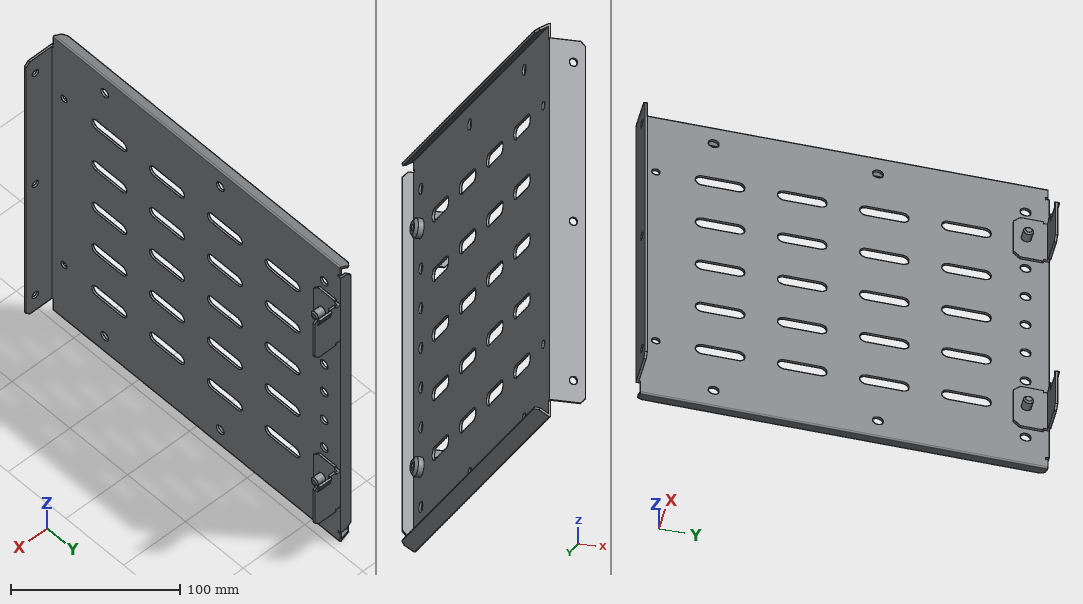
import cadquery as cq
import math

width_x = 30.6
length_y = 253.2
height_z = 247.5
sheet = 1.5

near_flange_end = width_x / 2
near_flange_length = 22.5
panel_front = near_flange_end - near_flange_length
panel_back = panel_front + sheet
near_y = -length_y / 2
far_y = 124.9
lip_half_length = 124.0
lip_angle = 120.0
lip_bend_radius = 0.8
lip_corner = 2.8

near_flange_half_height = 113.7
near_flange_corner = 3.0
far_flange_half_height = 114.7
far_flange_end = -14.2
far_flange_corner = 3.5
relief_depth = 1.5
relief_height = 1.5

fixing_pitch = 100.0
hole_pitch = fixing_pitch / 4
screw_z = 3 * hole_pitch
column_y = 110.5
column_hole_diameter = 6.5
column_hole_count = 9
screw_places = (1, 7)

slot_length = 30.1
slot_width = 8.0
slot_pitch_y = 2 * hole_pitch
slot_pitch_z = 1.5 * hole_pitch
slot_first_y = 74.5
slot_columns = 4
slot_rows = 5

edge_hole_z = 109.7
edge_hole_first_y = 20.5
edge_hole_diameter = 6.5
small_hole_y = -114.7
small_hole_diameter = 5.0
flange_hole_x = near_flange_end - 7.5
flange_hole_diameter = 5.0
flange_hole_count = 3

bracket_half_height = 17.5
bracket_leg_length = 22.0
bracket_leg_corner = 4.0
bracket_flange_corner = 3.0
bend_notch = 3.8
bend_notch_depth = 1.5

tab_width = 10.0
tab_x = 7.9
tab_length = 5.8
tab_reach = length_y / 2 - far_y
tab_angle = math.degrees(math.asin(tab_reach / tab_length))

screw_diameter = 6.0
screw_length = 10.0
screw_end_chamfer = 1.0
head_diameter = 12.2
head_top_diameter = 8.0
head_rim_height = 3.5
head_height = 5.3
hex_key = 3.8
hex_depth = 3.0


def x_plate(x, y0, y1, half_height):
    """Plate parallel to YZ, from x to x + sheet."""
    plate = cq.Workplane("XY").box(sheet, y1 - y0, 2 * half_height, centered=(False, False, True))
    return plate.translate((x, y0, 0))


def y_plate(x0, x1, y, half_height):
    """Plate parallel to XZ, from y to y + sheet."""
    plate = cq.Workplane("XY").box(x1 - x0, sheet, 2 * half_height, centered=(False, False, True))
    return plate.translate((x0, y, 0))


def x_holes(points, diameter):
    """Cutters for round holes along X through everything, at (y, z) points."""
    return cq.Workplane("YZ").pushPoints(points).circle(diameter / 2).extrude(width_x, both=True)


def make_lip():
    """Folded lip along the upper edge with both free corners cut off, and the height where it starts."""
    fold = math.radians(lip_angle)
    bend_x = panel_back - lip_bend_radius
    bend_z = height_z / 2 - lip_bend_radius
    tip_x = -width_x / 2

    def on_bend(radius, angle):
        return (bend_x + radius * math.cos(angle), bend_z + radius * math.sin(angle))

    slope_start = on_bend(lip_bend_radius, fold)
    slope = math.tan(fold - math.pi / 2)
    tip_z = slope_start[1] - (slope_start[0] - tip_x) * slope
    inner_tip = (tip_x - sheet * math.cos(fold), tip_z - sheet * math.sin(fold))
    inner_corner_z = inner_tip[1] + (panel_front - inner_tip[0]) * slope

    lip = (
        cq.Workplane("XZ")
        .moveTo(panel_back, inner_corner_z)
        .lineTo(panel_back, bend_z)
        .threePointArc(on_bend(lip_bend_radius, fold / 2), slope_start)
        .lineTo(tip_x, tip_z)
        .lineTo(*inner_tip)
        .lineTo(panel_front, inner_corner_z)
        .close()
        .extrude(lip_half_length, both=True)
    )
    thickness_direction = cq.Vector(math.cos(fold), 0, math.sin(fold))
    tip_corners = cq.selectors.ParallelDirSelector(thickness_direction)
    return lip.edges(tip_corners).chamfer(lip_corner), inner_corner_z


def make_panel():
    """Slotted panel with two folded lips and two side flanges."""
    lip, web_half_height = make_lip()
    panel = x_plate(panel_front, -lip_half_length, lip_half_length, web_half_height)
    panel = panel.union(lip).union(lip.mirror("XY"))

    near_flange = y_plate(panel_front, near_flange_end, near_y, near_flange_half_height)
    near_flange = near_flange.edges(">X and |Y").chamfer(near_flange_corner)
    near_strip = x_plate(panel_front, near_y, 0, near_flange_half_height)
    far_flange = y_plate(far_flange_end, panel_back, far_y - sheet, far_flange_half_height)
    far_flange = far_flange.edges("<X and |Y").chamfer(far_flange_corner)
    far_strip = x_plate(panel_front, 0, far_y, far_flange_half_height)
    for piece in (near_strip, near_flange, far_strip, far_flange):
        panel = panel.union(piece)

    relief_z = far_flange_half_height + relief_height / 2
    for z in (-relief_z, relief_z):
        slit = cq.Workplane("XY").box(width_x, 2 * relief_depth, relief_height)
        panel = panel.cut(slit.translate((panel_front, lip_half_length, z)))

    slots = (
        cq.Workplane("YZ")
        .center(slot_first_y - slot_pitch_y * (slot_columns - 1) / 2, 0)
        .rarray(slot_pitch_y, slot_pitch_z, slot_columns, slot_rows)
        .slot2D(slot_length, slot_width)
        .extrude(width_x, both=True)
    )
    panel = panel.cut(slots)

    middle = (column_hole_count - 1) / 2
    column = [(column_y, (i - middle) * hole_pitch) for i in range(column_hole_count)]
    edge_second_y = edge_hole_first_y - fixing_pitch
    edge_holes = [(y, z) for y in (edge_hole_first_y, edge_second_y) for z in (-edge_hole_z, edge_hole_z)]
    small_holes = [(small_hole_y, z) for z in (-screw_z, screw_z)]
    open_holes = [column[i] for i in range(column_hole_count) if i not in screw_places]
    panel = panel.cut(x_holes(open_holes, column_hole_diameter))
    panel = panel.cut(x_holes([column[i] for i in screw_places], screw_diameter))
    panel = panel.cut(x_holes(edge_holes, edge_hole_diameter))
    panel = panel.cut(x_holes(small_holes, small_hole_diameter))

    flange_holes = (
        cq.Workplane("XZ", origin=(flange_hole_x, near_y + sheet, 0))
        .rarray(2.5, fixing_pitch, 1, flange_hole_count)
        .circle(flange_hole_diameter / 2)
        .extrude(sheet)
    )
    return panel.cut(flange_holes)


def make_bracket(centre_z):
    """Angle bracket behind the panel, with a locating tab leaning out of its flange."""
    leg = x_plate(panel_back, far_y - bracket_leg_length, far_y, bracket_half_height)
    leg = leg.edges("<Y and |X").chamfer(bracket_leg_corner)
    flange = y_plate(panel_back, near_flange_end, far_y - sheet, bracket_half_height)
    flange = flange.edges(">X and |Y").chamfer(bracket_flange_corner)
    bracket = leg.union(flange)

    for end in (-1, 1):
        notch = cq.Workplane("XY").box(2 * bend_notch, 2 * bend_notch, 2 * bend_notch_depth)
        bracket = bracket.cut(notch.translate((panel_back, far_y, end * bracket_half_height)))

    root_z = bracket_half_height - tab_length
    window = cq.Workplane("XY").box(tab_width, 2 * sheet, tab_length, centered=(True, True, False))
    bracket = bracket.cut(window.translate((tab_x, far_y - sheet / 2, root_z)))
    tab = cq.Workplane("XY").box(tab_width, sheet, tab_length, centered=(True, False, False))
    tab = tab.translate((tab_x, far_y - sheet, root_z))
    tab = tab.rotate((0, far_y, root_z), (1, far_y, root_z), -tab_angle)
    bracket = bracket.union(tab)

    screw_hole = x_holes([(column_y, 0)], screw_diameter)
    return bracket.cut(screw_hole).translate((0, 0, centre_z))


def make_screw(centre_z):
    """Button-head screw along X, head against the front of the panel."""
    radius = screw_diameter / 2
    screw = (
        cq.Workplane("XY")
        .moveTo(-head_height, 0)
        .lineTo(-head_height, head_top_diameter / 2)
        .lineTo(-head_rim_height, head_diameter / 2)
        .lineTo(0, head_diameter / 2)
        .lineTo(0, radius)
        .lineTo(screw_length - screw_end_chamfer, radius)
        .lineTo(screw_length, radius - screw_end_chamfer)
        .lineTo(screw_length, 0)
        .close()
        .revolve(360, (0, 0), (1, 0))
    )
    hex_corners = hex_key / math.cos(math.pi / 6)
    key = cq.Workplane("YZ", origin=(-head_height, 0, 0)).polygon(6, hex_corners).extrude(hex_depth)
    return screw.cut(key).translate((panel_front, column_y, centre_z))


panel = make_panel()
brackets = [make_bracket(z) for z in (-screw_z, screw_z)]
screws = [make_screw(z) for z in (-screw_z, screw_z)]

result = cq.Compound.makeCompound(
    [
        panel.val(),
        *[bracket.val() for bracket in brackets],
        *[screw.val() for screw in screws],
    ]
)